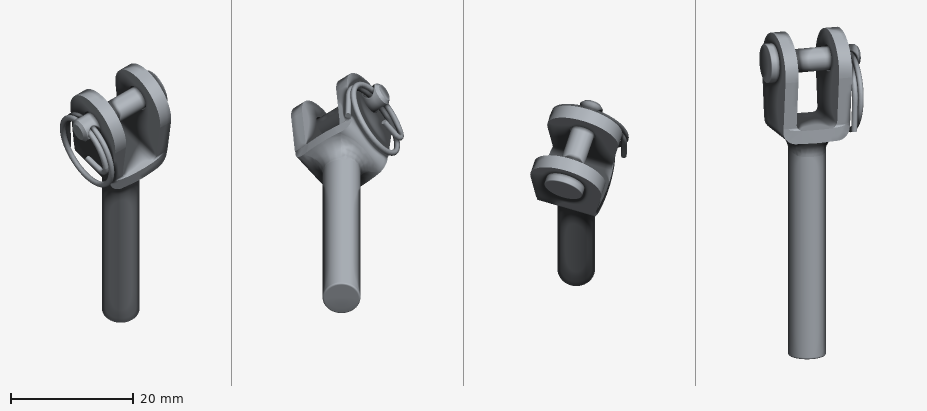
import cadquery as cq
import math

total_height = 55.0

shank_diameter = 6.2
shank_end_rounding = 0.3
neck_fillet = 3.0

fork_depth = 11.5
slot_width = 7.0
slot_floor_z = 39.6
slot_fillet = 1.0
bridge_bottom_z = 37.4
bridge_corner_radius = 2.15
bridge_width = 11.0
bridge_side_radius = 28.0
eye_radius = 6.1
arm_taper = math.radians(7)
arm_foot_fillet = 0.45
fork_hole_diameter = 4.45

pin_axis_z = 50.06
pin_diameter = 3.9
pin_length = 16.0
pin_tip_chamfer = 0.5
pin_head_diameter = 6.5
pin_head_thickness = 1.45
pin_head_rounding = 0.15
ring_hole_diameter = 2.3
ring_hole_y = -6.9
ring_hole_rounding = 0.2

wire_diameter = 0.96
coil_radius = 6.26
coil_pitch = 1.0
coil_center_z = 44.13
coil_start_y = -6.18
coil_end_angle = 17.0
tail_length = 5.1
finger_end_x = 1.25
finger_drop = 0.1

fork_back_y = fork_depth / 2
blank_width = 4 * eye_radius
eye_center_z = total_height - eye_radius


def pin_axis_cylinder(diameter, y_from, y_to):
    """Cylinder on the pin axis between two Y positions, its seam on the +Z side."""
    base = cq.Workplane(cq.Plane(origin=(0, y_from, pin_axis_z), xDir=(0, 0, 1), normal=(0, 1, 0)))
    return base.circle(diameter / 2).extrude(y_to - y_from)


def front_outline():
    """Solid whose silhouette along Y is the eye, the tapering arms and a full-width blank below."""
    tangent_x = eye_radius * math.cos(arm_taper)
    tangent_z = eye_center_z - eye_radius * math.sin(arm_taper)
    foot_x = tangent_x - (tangent_z - slot_floor_z) * math.tan(arm_taper)
    half_width = blank_width / 2
    outline = (
        cq.Workplane("XZ")
        .moveTo(half_width, 0)
        .lineTo(half_width, slot_floor_z)
        .lineTo(foot_x, slot_floor_z)
        .lineTo(tangent_x, tangent_z)
        .threePointArc((0, total_height), (-tangent_x, tangent_z))
        .lineTo(-foot_x, slot_floor_z)
        .lineTo(-half_width, slot_floor_z)
        .lineTo(-half_width, 0)
        .close()
        .extrude(fork_depth, both=True)
    )
    for side in (-1, 1):
        foot_edge = cq.selectors.NearestToPointSelector((side * foot_x, 0, slot_floor_z))
        outline = outline.edges("|Y").edges(foot_edge).fillet(arm_foot_fillet)
    return outline


def plan_outline():
    """Solid whose silhouette along Z has a flat front and back and gently bowed sides."""
    bow = bridge_side_radius - math.sqrt(bridge_side_radius**2 - fork_back_y**2)
    corner_x = bridge_width / 2 - bow
    return (
        cq.Workplane("XY")
        .moveTo(-corner_x, -fork_back_y)
        .lineTo(corner_x, -fork_back_y)
        .threePointArc((bridge_width / 2, 0), (corner_x, fork_back_y))
        .lineTo(-corner_x, fork_back_y)
        .threePointArc((-bridge_width / 2, 0), (-corner_x, -fork_back_y))
        .close()
        .extrude(slot_floor_z + arm_foot_fillet)
    )


def fork_blank():
    """Wide block with rounded lower edges, blended into the shank by the neck fillet."""
    block = (
        cq.Workplane("XY", origin=(0, 0, bridge_bottom_z))
        .box(blank_width, fork_depth, total_height - bridge_bottom_z, centered=(True, True, False))
        .edges("|X and <Z")
        .fillet(bridge_corner_radius)
    )
    shank = (
        cq.Workplane("XY")
        .circle(shank_diameter / 2)
        .extrude(bridge_bottom_z)
        .faces("<Z")
        .fillet(shank_end_rounding)
    )
    neck_edge = cq.selectors.NearestToPointSelector((0, 0, bridge_bottom_z))
    return block.union(shank).edges("%CIRCLE").edges(neck_edge).fillet(neck_fillet)


def make_fork():
    eye_space = (
        cq.Workplane("XY", origin=(0, 0, slot_floor_z + arm_foot_fillet))
        .box(blank_width, fork_depth, total_height, centered=(True, True, False))
    )
    slot = (
        cq.Workplane("XY", origin=(0, 0, slot_floor_z))
        .box(blank_width, slot_width, total_height, centered=(True, True, False))
        .edges("|X and <Z")
        .fillet(slot_fillet)
    )
    pin_hole = pin_axis_cylinder(fork_hole_diameter, -fork_depth, fork_depth)
    trimmed = fork_blank().intersect(front_outline()).intersect(plan_outline().union(eye_space))
    return trimmed.cut(slot).cut(pin_hole)


def make_pin():
    """Headed pin through both arms, with a cross hole for the ring near its tip."""
    head_back_y = fork_back_y + pin_head_thickness
    tip_y = head_back_y - pin_length
    shaft = pin_axis_cylinder(pin_diameter, tip_y, fork_back_y)
    shaft = shaft.faces("<Y").chamfer(pin_tip_chamfer)
    head = pin_axis_cylinder(pin_head_diameter, fork_back_y, head_back_y)
    head = head.edges().fillet(pin_head_rounding)
    ring_hole = (
        cq.Workplane("YZ", origin=(-pin_diameter, ring_hole_y, pin_axis_z))
        .circle(ring_hole_diameter / 2)
        .extrude(2 * pin_diameter)
    )
    pin = shaft.cut(ring_hole)
    for side in (-1, 1):
        mouth = cq.selectors.NearestToPointSelector((side * pin_diameter / 2, ring_hole_y, pin_axis_z))
        pin = pin.edges(mouth).fillet(ring_hole_rounding)
    return pin.union(head)


def coil_turn(radius, center, start_angle, sweep_angle, climb_slope):
    """Clockwise helix about -Y; angles run clockwise from -X, and it climbs toward -Y."""
    turns = sweep_angle / (2 * math.pi)
    pitch = 2 * math.pi * radius * climb_slope
    helix = cq.Wire.makeHelix(pitch, pitch * turns, radius, lefthand=True)
    start_direction = (-math.cos(start_angle), 0, math.sin(start_angle))
    frame = cq.Plane(origin=center, xDir=start_direction, normal=(0, -1, 0))
    return helix.moved(frame.location)


def make_ring():
    """Wire ring: straight tail, one and a half coils, then a bend to a straight finger."""
    slope = coil_pitch / (2 * math.pi * coil_radius)
    elevation = math.radians(coil_end_angle)
    coil_sweep = 3 * math.pi - elevation
    coil_center = cq.Vector(0, coil_start_y, coil_center_z)
    coil = coil_turn(coil_radius, coil_center, 0, coil_sweep, slope)

    bend_radius = (coil_radius * math.sin(elevation) + finger_drop) / (1 + math.sin(elevation))
    bend_offset = coil_radius - bend_radius
    coil_end_y = coil_start_y - coil_radius * coil_sweep * slope
    bend_center = cq.Vector(
        bend_offset * math.cos(elevation),
        coil_end_y,
        coil_center_z + bend_offset * math.sin(elevation),
    )
    bend_sweep = math.pi / 2 + elevation
    bend = coil_turn(bend_radius, bend_center, coil_sweep, bend_sweep, slope)

    tail_top = cq.Vector(-coil_radius, coil_start_y, coil_center_z)
    tail_direction = cq.Vector(0, -slope, 1)
    tail_bottom = tail_top - tail_direction * tail_length
    tail = cq.Edge.makeLine(tail_bottom, tail_top)

    bend_end_y = coil_end_y - bend_radius * bend_sweep * slope
    finger_length = bend_center.x - finger_end_x
    finger_start = cq.Vector(bend_center.x, bend_end_y, coil_center_z - finger_drop)
    finger_end = finger_start + cq.Vector(-1, -slope, 0) * finger_length
    finger = cq.Edge.makeLine(finger_start, finger_end)

    path = cq.Wire.assembleEdges([tail, *coil.Edges(), *bend.Edges(), finger])
    section = cq.Workplane(cq.Plane(origin=tail_bottom, xDir=(1, 0, 0), normal=tail_direction))
    return section.circle(wire_diameter / 2).sweep(cq.Workplane(obj=path))


fork = make_fork()
pin = make_pin()
ring = make_ring()

result = cq.Compound.makeCompound([fork.solids().val(), pin.solids().val(), ring.solids().val()])